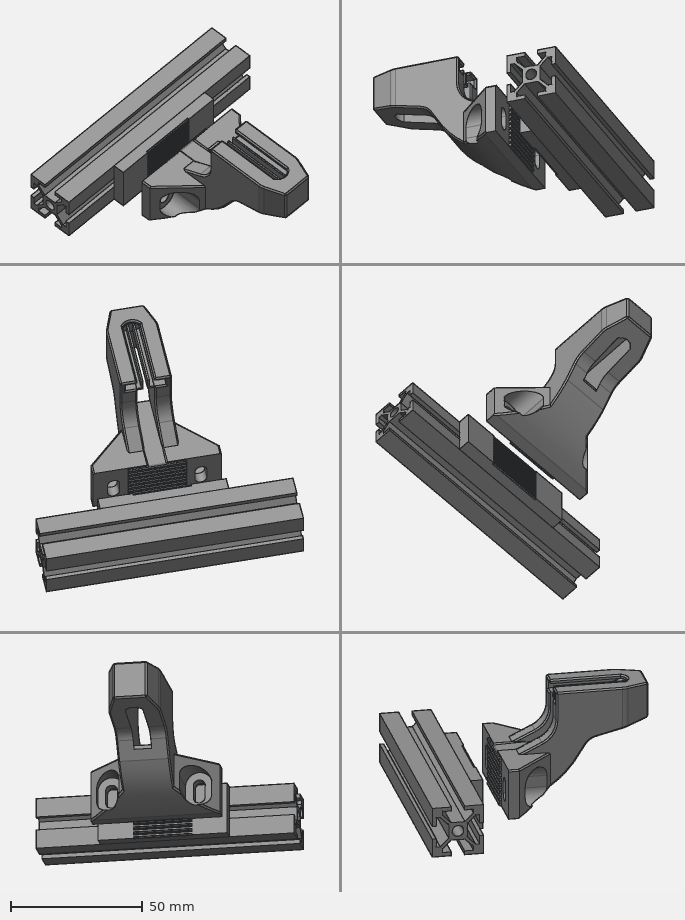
import cadquery as cq
import math

rail_side = 20.0
rail_length = 100.0
slot_mouth_half = 2.6
lip_thickness = 1.6
slot_inner_half = 6.0
slot_shoulder = 3.1
core_half = 3.6
bore_diameter = 4.4

pad_thickness = 4.8
pad_width = 50.0

tooth_count = 10
tooth_pitch = 2.0
tooth_height = 1.2
tooth_depth = 1.0
tooth_bevel = 0.4
tooth_width = 22.6
groove_depth = 0.7

foot_front = 34.8
foot_width = 50.0
bracket_shift = -0.2
foot_height = 20.0
foot_top = 13.1
foot_edge = 4.3
edge_chamfer = 0.6
screw_offset = 17.0
screw_slot_width = 4.6
screw_head_width = 10.6
screw_low = 0.0
screw_high = 4.6

arm_front = 56.4
arm_end = 92.9
arm_top = 37.4
arm_half = 10.0
neck_radius = 9.7
neck_slope = 25.5
neck_start_z = 26.1
root_depth = 3.0
nose_half = 6.5
nose_angle = 20.0
nose_blend_radius = 6.4

belly_start_x = 39.5
belly_mid = (52.7, -1.8)
belly_end = (63.2, 7.9)
throat_start = (67.6, 14.7)
throat_mid = (69.5, 16.9)
throat_end = (72.1, 18.1)
nose_bottom = 23.1

gap_half = 3.4
gap_end = 86.0
gap_end_sagitta = 1.9
cavity_floor = 32.4
cavity_roof = 35.9
cavity_half = 7.9
cavity_end = 86.2
corner_start_size = 0.7
corner_start = 82.0
corner_end_width = 2.8
corner_end_height = 2.1

strip_start = 57.7
strip_inner = 0.9
strip_wall = 0.7
strip_bottom = 30.8
strip_floor = 0.9
strip_top = 35.6

foot_bottom = foot_top - foot_height
foot_back = foot_front + foot_edge
channel_low = foot_top - edge_chamfer
channel_rear = 65.6
first_tooth = channel_low - tooth_height / 2
overcut = 1.0
tolerance = 0.01
shallow = 0.1


def block(x0, x1, y0, y1, z0, z1):
    return cq.Workplane("XY").box(x1 - x0, y1 - y0, z1 - z0, centered=False).translate((x0, y0, z0))


def side_extrude(outline, half_width):
    """Extrude an XZ outline symmetrically about the Y = 0 plane."""
    return outline.extrude(half_width, both=True)


def make_rail():
    half = rail_side / 2
    centre = (half, 0, 0)
    rail = cq.Workplane("XZ").rect(rail_side, rail_side).extrude(rail_length / 2, both=True)
    shoulder = half - slot_shoulder
    core_corner = slot_inner_half - (shoulder - core_half)
    right = [
        (slot_mouth_half, half),
        (slot_mouth_half, half - lip_thickness),
        (slot_inner_half, half - lip_thickness),
        (slot_inner_half, shoulder),
        (core_corner, core_half),
    ]
    left = [(-x, z) for x, z in reversed(right)]
    slot = side_extrude(cq.Workplane("XZ").polyline(right + left).close(), rail_length)
    for quarter in range(4):
        rail = rail.cut(slot.rotate((0, 0, 0), (0, 1, 0), 90 * quarter))
    bore = side_extrude(cq.Workplane("XZ").circle(bore_diameter / 2), rail_length)
    return rail.cut(bore).translate(centre)


def tooth(root_x, centre_z, depth):
    """A bevelled tooth pointing toward -X from the plane X = root_x."""
    half = tooth_height / 2
    tip = root_x - depth
    outline = cq.Workplane("XZ").polyline([
        (root_x, centre_z - half),
        (tip + tooth_bevel, centre_z - half),
        (tip, centre_z - half + tooth_bevel),
        (tip, centre_z + half - tooth_bevel),
        (tip + tooth_bevel, centre_z + half),
        (root_x, centre_z + half),
    ]).close()
    return side_extrude(outline, tooth_width / 2)


def make_pad():
    half = rail_side / 2
    face = rail_side + pad_thickness
    pad = block(rail_side, face, -pad_width / 2, pad_width / 2, -half, half)
    for i in range(tooth_count + 1):
        pad = pad.cut(tooth(face, half - i * tooth_pitch, groove_depth))
    return pad


def under_curve(outline):
    """Follow the underside from the back of the foot bottom up to the arm end."""
    return (
        outline.lineTo(belly_start_x, foot_bottom)
        .threePointArc(belly_mid, belly_end)
        .lineTo(*throat_start)
        .threePointArc(throat_mid, throat_end)
        .lineTo(arm_end, nose_bottom)
    )


def make_foot():
    half = foot_width / 2
    reach = half - arm_half
    plan = (
        cq.Workplane("XY").workplane(offset=foot_bottom)
        .polyline([
            (foot_front, -half), (foot_back, -half), (foot_back + reach, -arm_half),
            (foot_back + reach, arm_half), (foot_back, half), (foot_front, half),
        ]).close().extrude(foot_height)
    )
    side = under_curve(cq.Workplane("XZ").moveTo(foot_front, foot_bottom))
    side = side_extrude(side.lineTo(arm_end, arm_top).lineTo(foot_front, arm_top).close(), half)
    foot = plan.intersect(side)
    return foot.newObject(foot_rim(foot)).chamfer(edge_chamfer)


def foot_rim(foot):
    """Top edges of the ends and flanks, and the curved lower edges of the flanks."""
    rim = []
    for edge in foot.edges().vals():
        middle = edge.Center()
        upright = abs(edge.tangentAt(0.5).z) > 1 - tolerance
        flat_bottom = middle.z < foot_bottom + tolerance
        if abs(middle.y) > arm_half + tolerance and not (upright or flat_bottom):
            rim.append(edge)
    return rim


def nose_plan():
    """Arm plan: parallel flanks that blend into a tapered nose."""
    angle = math.radians(nose_angle)
    corner_x = arm_end - (arm_half - nose_half) / math.tan(angle)
    start_x = corner_x - nose_blend_radius * math.tan(angle / 2)

    def on_blend(turn):
        x = start_x + nose_blend_radius * math.sin(turn)
        return x, arm_half - nose_blend_radius * (1 - math.cos(turn))

    middle = on_blend(angle / 2)
    finish = on_blend(angle)
    return (
        cq.Workplane("XY").moveTo(0, -arm_half)
        .lineTo(start_x, -arm_half)
        .threePointArc((middle[0], -middle[1]), (finish[0], -finish[1]))
        .lineTo(arm_end, -nose_half).lineTo(arm_end, nose_half).lineTo(*finish)
        .threePointArc(middle, (start_x, arm_half))
        .lineTo(0, arm_half).close()
    )


def above_channel():
    """Everything above the channel floor, which rises gently from front to rear, open behind it."""
    outline = cq.Workplane("XZ").polyline([
        (foot_front, channel_low), (channel_rear, foot_top), (channel_rear, foot_bottom),
        (arm_end, foot_bottom), (arm_end, 2 * arm_top), (foot_front, 2 * arm_top),
    ]).close()
    return side_extrude(outline, arm_half)


def make_gap():
    return gap_plan().extrude(3 * arm_top).translate((0, 0, foot_bottom)).intersect(above_channel())


def make_arm():
    turn = math.radians(90 - neck_slope)
    neck_centre_x = arm_front - neck_radius

    def on_neck(angle):
        x = neck_centre_x + neck_radius * math.cos(angle)
        return x, neck_start_z - neck_radius * math.sin(angle)

    neck_mid = on_neck(turn / 2)
    neck_end = on_neck(turn)
    buried_z = foot_top - root_depth
    buried_x = neck_end[0] - (neck_end[1] - buried_z) * math.tan(turn)
    side = under_curve(cq.Workplane("XZ").moveTo(buried_x, foot_bottom))
    side = (
        side.lineTo(arm_end, arm_top).lineTo(arm_front, arm_top).lineTo(arm_front, neck_start_z)
        .threePointArc(neck_mid, neck_end).lineTo(buried_x, buried_z).close()
    )
    plan = nose_plan().extrude(2 * arm_top).translate((0, 0, -arm_top / 2))
    cheeks = side_extrude(side, arm_half).intersect(plan).cut(make_gap())
    return cheeks.newObject(arm_rim(cheeks)).chamfer(edge_chamfer)


def arm_rim(cheeks):
    """Edges round the flanks, the end face, the top front corners and the front of the gap."""
    rim = []
    for edge in cheeks.edges().vals():
        middle = edge.Center()
        direction = edge.tangentAt(0.5)
        on_end = middle.x > arm_end - tolerance
        on_top_front = middle.z > arm_top - tolerance and middle.x < arm_front + tolerance
        across = abs(direction.y) > 1 - tolerance
        in_gap = abs(middle.y) < gap_half + tolerance
        gap_front = not across and middle.x < arm_front + tolerance and abs(direction.z) > shallow
        nose_upright = abs(direction.z) > 1 - tolerance and middle.x > corner_start
        if on_end or on_top_front:
            rim.append(edge)
        elif gap_front if in_gap else not (across or nose_upright):
            rim.append(edge)
    return rim


def gap_plan():
    """Plan of the gap between the cheeks, closed by a shallow arc."""
    return (
        cq.Workplane("XY").moveTo(foot_front, -gap_half)
        .lineTo(gap_end - gap_end_sagitta, -gap_half)
        .threePointArc((gap_end, 0), (gap_end - gap_end_sagitta, gap_half))
        .lineTo(foot_front, gap_half).close()
    )


def cut_gap_flare(arm):
    """Chamfer the rim of the gap where it opens through the arm top."""
    flare = gap_plan().extrude(edge_chamfer + overcut, taper=-45)
    return arm.cut(flare.translate((0, 0, arm_top - edge_chamfer)))


def corner_triangle(side, x, width, height):
    """Triangle filling an outer floor corner of the cavity, in the plane at x."""
    wall = side * cavity_half
    return cq.Wire.makePolygon([
        cq.Vector(x, wall, cavity_floor),
        cq.Vector(x, wall - side * width, cavity_floor),
        cq.Vector(x, wall, cavity_floor + height),
    ], close=True)


def cavity_corner(side):
    """Sloped facet in an outer floor corner of the cavity, growing toward the closed end."""
    front = corner_triangle(side, corner_start, corner_start_size, corner_start_size)
    end = corner_triangle(side, cavity_end, corner_end_width, corner_end_height)
    return cq.Workplane(cq.Solid.makeLoft([front, end], True))


def cut_cavity(arm):
    """Hollow under the arm top, open at the front, above a seat for the strips."""
    height = cavity_roof - cavity_floor
    front = arm_front - overcut
    cavity = block(front, cavity_end, -cavity_half, cavity_half, cavity_floor, cavity_roof)
    for side in (-1, 1):
        cavity = cavity.cut(cavity_corner(side))
    seat = block(front, cavity_end, -gap_half, gap_half, strip_bottom, cavity_roof)
    mouth = (
        cq.Workplane("YZ").workplane(offset=arm_front)
        .center(0, cavity_floor + height / 2)
        .rect(2 * (cavity_half + edge_chamfer), height + 2 * edge_chamfer)
        .extrude(edge_chamfer, taper=45)
    )
    return arm.cut(cavity).cut(seat).cut(mouth)


def cut_channel(bracket):
    """Flared rim of the shallow channel across the foot top, in line with the gap."""
    flare = gap_half + foot_top - channel_low
    outline = cq.Workplane("YZ").workplane(offset=foot_front).polyline([
        (-gap_half, channel_low), (gap_half, channel_low), (flare, foot_top), (-flare, foot_top),
    ]).close()
    length = arm_front - neck_radius - foot_front
    return bracket.cut(outline.extrude(length).intersect(above_channel()))


def screw_slot(width, start, y):
    """Upright oblong running along +X from start."""
    length = arm_front - start
    centre_z = (screw_low + screw_high) / 2
    oblong = cq.Workplane("YZ").workplane(offset=start).center(y, centre_z)
    return oblong.slot2D(screw_high - screw_low + width, width, 90).extrude(length)


def make_bracket():
    arm = cut_cavity(cut_gap_flare(make_arm()))
    bracket = cut_channel(make_foot().cut(make_gap()).union(arm))
    for y in (-screw_offset, screw_offset):
        bracket = bracket.cut(screw_slot(screw_slot_width, foot_front - overcut, y))
        bracket = bracket.cut(screw_slot(screw_head_width, foot_back, y))
    for i in range(tooth_count):
        bracket = bracket.union(tooth(foot_front, first_tooth - i * tooth_pitch, tooth_depth))
    return bracket.translate((0, bracket_shift, 0))


def make_strip(side):
    """L-shaped strip: a thin floor against one cheek with a wall beside the centre line."""
    outline = cq.Workplane("YZ").workplane(offset=strip_start).polyline([
        (side * strip_inner, strip_bottom),
        (side * gap_half, strip_bottom),
        (side * gap_half, strip_bottom + strip_floor),
        (side * (strip_inner + strip_wall), strip_bottom + strip_floor),
        (side * (strip_inner + strip_wall), strip_top),
        (side * strip_inner, strip_top),
    ]).close()
    return outline.extrude(cavity_end - strip_start).translate((0, bracket_shift, 0))


rail = make_rail()
pad = make_pad()
bracket = make_bracket()
strips = [make_strip(side) for side in (-1, 1)]

result = cq.Compound.makeCompound([
    rail.val(),
    pad.val(),
    bracket.solids().val(),
    *[strip.val() for strip in strips],
])